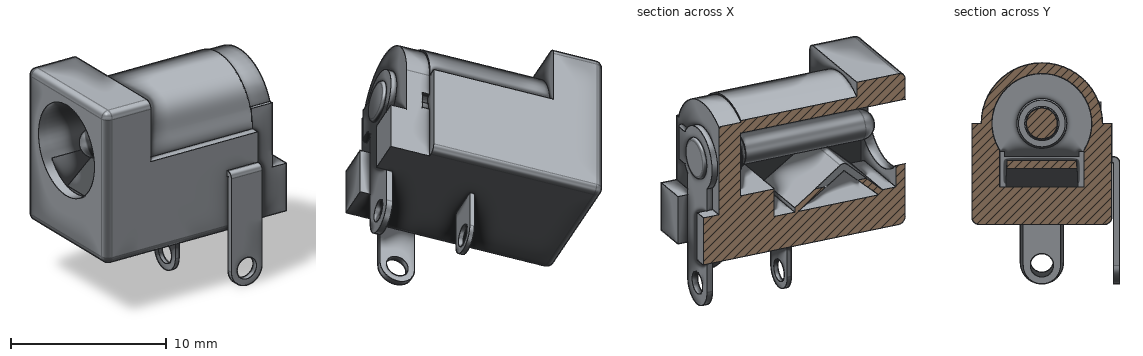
import cadquery as cq
import math


HOUSING_WIDTH = 9.0
HOUSING_HEIGHT = 10.69
HOUSING_LENGTH = 11.8
HEAD_LENGTH = 3.5
EDGE_RADIUS = 0.5
AXIS_Z = 6.5
BARREL_RADIUS = 3.9

PLUG_RADIUS = 3.8
PLUG_END = 13.4
FOOT_HEIGHT = 3.35
FOOT_END = 14.5
SHOULDER_INNER_X = 3.54

BORE_DIAMETER = 6.4
BOSS_DIAMETER = 3.2
BOSS_LENGTH = 0.5
COLLAR_LENGTH = 0.5
COLLAR_DIAMETER = 2.2
PIN_DIAMETER = 2.0
PIN_TIP_Y = 1.2
BOSS_CHAMFER = 0.1
COLLAR_CHAMFER = 0.09

CHANNEL_HALF_WIDTH = 2.7
CHANNEL_START = 0.7
SPRING_FLOOR_Z = 2.73
SPRING_FOLD_Y = 1.65
SPRING_CREST_Y = 4.38
SPRING_CREST_Z = 5.2
SPRING_CREST_RADIUS = 0.4
SPRING_HALF_WIDTH_LOW = 2.32
SPRING_HALF_WIDTH_HIGH = 2.19
RAIL_INNER_X = 2.39
RAIL_TOP_Z = 4.68

TERMINAL_DROP = 3.81
TERMINAL_HOLE_DIAMETER = 1.5
SHEET = 0.4
BEND_RADIUS = 0.39
SPRING_SHEET = 0.3
SIDE_LEG_WIDTH = 2.39
SIDE_LEG_OUTER_X = 5.0
SIDE_STRIP_TOP_Z = 4.36
SPRING_LEG_WIDTH = 2.39
SPRING_LEG_Y = 7.64
REAR_LEG_WIDTH = 2.78
REAR_HOLE_RISE = 0.12
REAR_DISC_RADIUS = 2.13
REAR_TAB_X = 2.96
REAR_TAB_HALF_HEIGHT = 1.13
RIVET_DIAMETER = 2.74
RIVET_END = 14.0
RIVET_EDGE_RADIUS = 0.19

RECESS_BOTTOM_Z = 3.78
RECESS_TOP_Z = 4.99
RECESS_END = 12.31
RECESS_DEPTH = 0.4
RECESS_FILLET = 0.2

HALF_WIDTH = HOUSING_WIDTH / 2
SEAT_START = HOUSING_LENGTH - SIDE_LEG_WIDTH


def block(x0, x1, y0, y1, z0, z1):
    """Box between two opposite corners."""
    return cq.Workplane("XY").box(x1 - x0, y1 - y0, z1 - z0, centered=False).translate((x0, y0, z0))


def rod(diameter, y0, y1):
    """Cylinder on the jack axis between two Y positions."""
    plane = cq.Workplane("XZ", origin=(0, y0, AXIS_Z))
    return plane.circle(diameter / 2).extrude(y0 - y1)


def leg(width, thickness, top_z, hole_rise=0):
    """Round-ended solder leg centred on X = 0, with its thickness running from Y = 0 to +Y.

    The hole sits hole_rise above the centre of the rounded end.
    """
    radius = width / 2
    tip_z = radius - TERMINAL_DROP
    blade = block(-radius, radius, 0, thickness, tip_z, top_z)
    tip_plane = cq.Workplane("XZ", origin=(0, 0, tip_z))
    tip = tip_plane.circle(radius).extrude(-thickness)
    hole = tip_plane.center(0, hole_rise).circle(TERMINAL_HOLE_DIAMETER / 2).extrude(-thickness)
    return blade.union(tip).cut(hole)


def make_housing():
    body = block(-HALF_WIDTH, HALF_WIDTH, 0, HOUSING_LENGTH, 0, HOUSING_HEIGHT)
    body = body.edges("|Y or <Y").fillet(EDGE_RADIUS)
    upper = block(-HALF_WIDTH, HALF_WIDTH, HEAD_LENGTH, HOUSING_LENGTH, AXIS_Z, HOUSING_HEIGHT)
    return body.cut(upper).union(rod(2 * BARREL_RADIUS, HEAD_LENGTH, HOUSING_LENGTH))


def make_plug():
    lower = block(-PLUG_RADIUS, PLUG_RADIUS, HOUSING_LENGTH, PLUG_END, 0, AXIS_Z)
    dome = rod(2 * PLUG_RADIUS, HOUSING_LENGTH, PLUG_END)
    shoulder_rise = math.sqrt(PLUG_RADIUS**2 - SHOULDER_INNER_X**2)
    shoulder = block(0, PLUG_RADIUS, HOUSING_LENGTH, PLUG_END, AXIS_Z, AXIS_Z + shoulder_rise)
    foot = block(-PLUG_RADIUS, PLUG_RADIUS, PLUG_END, FOOT_END, 0, FOOT_HEIGHT)
    foot_slot = block(-REAR_LEG_WIDTH / 2, REAR_LEG_WIDTH / 2, PLUG_END, FOOT_END, 0, FOOT_HEIGHT)
    recess = block(
        -PLUG_RADIUS, RECESS_DEPTH - PLUG_RADIUS, HOUSING_LENGTH, RECESS_END, RECESS_BOTTOM_Z, RECESS_TOP_Z
    )
    recess = recess.edges("|Y and >X").fillet(RECESS_FILLET)
    strip_end = block(
        RECESS_FILLET - PLUG_RADIUS, RECESS_DEPTH - PLUG_RADIUS, HOUSING_LENGTH, RECESS_END,
        SIDE_STRIP_TOP_Z - SHEET, SIDE_STRIP_TOP_Z,
    )
    return lower.union(dome).union(shoulder).union(foot.cut(foot_slot)).cut(recess).union(strip_end)


def make_socket_cavity():
    bore = rod(BORE_DIAMETER, 0, HOUSING_LENGTH)
    channel = block(
        -CHANNEL_HALF_WIDTH, CHANNEL_HALF_WIDTH, CHANNEL_START, HOUSING_LENGTH,
        SPRING_FLOOR_Z - SPRING_SHEET, AXIS_Z,
    )
    seat = block(
        -CHANNEL_HALF_WIDTH, CHANNEL_HALF_WIDTH, SEAT_START, HOUSING_LENGTH, 0, RAIL_TOP_Z
    )
    seat_trough = block(
        -RAIL_INNER_X, RAIL_INNER_X, SEAT_START, HOUSING_LENGTH, SIDE_STRIP_TOP_Z, RAIL_TOP_Z
    )
    return bore.union(channel).cut(seat.cut(seat_trough))


def make_pin():
    boss_front = HOUSING_LENGTH - BOSS_LENGTH
    boss = rod(BOSS_DIAMETER, boss_front, HOUSING_LENGTH).faces("<Y").chamfer(BOSS_CHAMFER)
    collar_front = boss_front - COLLAR_LENGTH
    collar = rod(COLLAR_DIAMETER, collar_front, boss_front).faces("<Y").chamfer(COLLAR_CHAMFER)
    radius = PIN_DIAMETER / 2
    dome_base = PIN_TIP_Y + radius
    shaft = rod(PIN_DIAMETER, dome_base, boss_front)
    quarter = cq.Workplane("XY").lineTo(radius, 0).radiusArc((0, -radius), radius).close()
    dome = quarter.revolve(360, (0, 0), (0, 1)).translate((0, dome_base, AXIS_Z))
    return boss.union(collar).union(shaft).union(dome)


def make_spring():
    """Bent contact: flat foot, ramp up to a rounded crest, then down to its solder leg."""
    leg_back = SPRING_LEG_Y + SPRING_SHEET
    foot_bottom = SPRING_FLOOR_Z - SPRING_SHEET
    half_width = SPRING_HALF_WIDTH_LOW
    top = [
        (CHANNEL_START, SPRING_FLOOR_Z),
        (SPRING_FOLD_Y, SPRING_FLOOR_Z),
        (SPRING_CREST_Y, SPRING_CREST_Z),
        (leg_back, SPRING_FLOOR_Z),
    ]
    bottom = [
        (leg_back, foot_bottom),
        (SPRING_LEG_Y, foot_bottom),
        (SPRING_CREST_Y, SPRING_CREST_Z - 2 * SPRING_SHEET),
        (SPRING_FOLD_Y + SPRING_SHEET, foot_bottom),
        (CHANNEL_START, foot_bottom),
    ]
    sheet = cq.Workplane("YZ").polyline(top + bottom).close().extrude(half_width, both=True)
    sheet = sheet.edges(">Z and |X").fillet(SPRING_CREST_RADIUS)
    taper = cq.Workplane("XZ").polyline([
        (-half_width, foot_bottom),
        (half_width, foot_bottom),
        (SPRING_HALF_WIDTH_HIGH, SPRING_CREST_Z),
        (-SPRING_HALF_WIDTH_HIGH, SPRING_CREST_Z),
    ]).close().extrude(-HOUSING_LENGTH)
    solder_leg = leg(SPRING_LEG_WIDTH, SPRING_SHEET, foot_bottom).translate((0, SPRING_LEG_Y, 0))
    return sheet.intersect(taper).union(solder_leg)


def make_side_terminal():
    leg_inner_x = SIDE_LEG_OUTER_X - SHEET
    mid_y = HOUSING_LENGTH - SIDE_LEG_WIDTH / 2
    blade = leg(SIDE_LEG_WIDTH, SHEET, SIDE_STRIP_TOP_Z).rotate((0, 0, 0), (0, 0, 1), -90)
    blade = blade.translate((leg_inner_x, mid_y, 0))
    strip = block(
        BARREL_RADIUS, SIDE_LEG_OUTER_X, SEAT_START, HOUSING_LENGTH,
        SIDE_STRIP_TOP_Z - SHEET, SIDE_STRIP_TOP_Z,
    )
    strip = strip.edges(">X and >Z").fillet(BEND_RADIUS)
    lower_blade = blade.cut(block(0, HOUSING_WIDTH, 0, FOOT_END, SIDE_STRIP_TOP_Z - SHEET, AXIS_Z))
    return lower_blade.union(strip)


def make_rear_terminal():
    plate_back = PLUG_END + SHEET
    disc = rod(2 * REAR_DISC_RADIUS, PLUG_END, plate_back)
    tab = block(
        0, REAR_TAB_X, PLUG_END, plate_back, AXIS_Z - REAR_TAB_HALF_HEIGHT, AXIS_Z + REAR_TAB_HALF_HEIGHT
    )
    tab = tab.edges("|Z and >X and >Y").fillet(BEND_RADIUS)
    solder_leg = leg(REAR_LEG_WIDTH, SHEET, AXIS_Z, REAR_HOLE_RISE).translate((0, PLUG_END, 0))
    rivet = rod(RIVET_DIAMETER, plate_back, RIVET_END).faces(">Y").edges().fillet(RIVET_EDGE_RADIUS)
    return disc.union(tab).union(solder_leg).union(rivet)


result = make_housing().cut(make_socket_cavity()).union(make_plug())
for piece in (make_pin(), make_spring(), make_side_terminal(), make_rear_terminal()):
    result = result.union(piece)